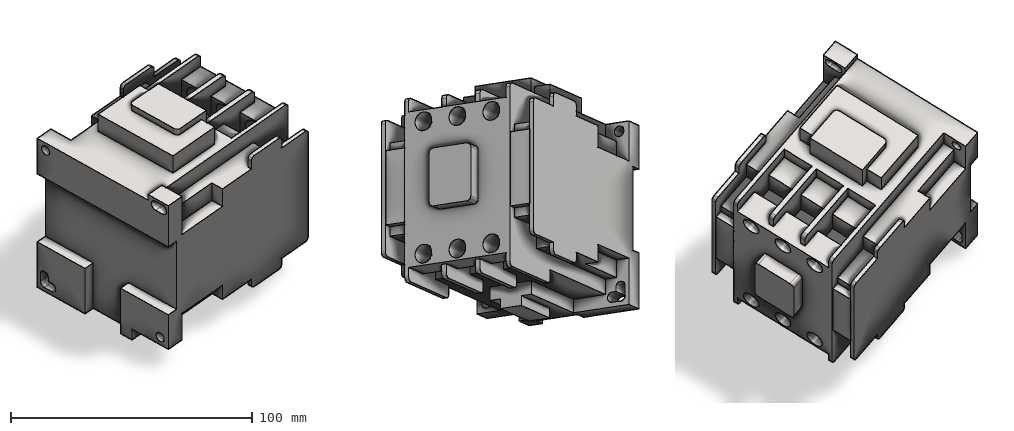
import cadquery as cq


TOTAL_HEIGHT = 95.1
CLIP_DROP = 4.2
ROCKER_TOP = TOTAL_HEIGHT - CLIP_DROP

HALF_WIDTH = 73.0 / 2
BACK_Y = 5.0
FRONT_Y = 86.9
FLANGE_DEPTH = 8.5
EDGE_RADIUS = 1.9

CENTER_HALF_WIDTH = 25.3
DECK_TOP = 78.8
CENTER_BOTTOM = 5.8
FIN_THICKNESS = 1.9
DIVIDER_THICKNESS = 2.3
DIVIDER_X = 8.1
WALL_INNER_X = CENTER_HALF_WIDTH - FIN_THICKNESS
DIVIDER_INNER_X = DIVIDER_X - DIVIDER_THICKNESS / 2
DIVIDER_OUTER_X = DIVIDER_X + DIVIDER_THICKNESS / 2
DIVIDER_FRONT_Y = 84.1

TERMINAL_TOP = 72.6
TERMINAL_BACK_Y = 53.9
SLOT_BACK_Y = 64.8
SLOT_FRONT_Y = 74.9
SLOT_DEPTH = 10.9
WIRE_HOLE_DIAMETER = 8.0
WIRE_HOLE_INSET = 4.9

SIDE_BOTTOM = 12.4
SIDE_TOP = 70.85
SIDE_PLATE_THICKNESS = 1.9
SIDE_FILLER_FRONT_Y = 86.4
SIDE_SEAT_BACK_Y = 65.1
SIDE_SEAT_FRONT_Y = 83.1
SIDE_SEAT_DEPTH = 9.2
SIDE_LEDGE_DEPTH = 13.3
TAB_BACK_Y = 51.5
TAB_FRONT_Y = 70.5
TAB_TOP = 76.9
TAB_BOTTOM = 7.5
POCKET_FRONT_Y = 33.7
POCKET_DEPTH_X = 6.0
UPPER_POCKET_FLOOR = 61.6
LOWER_POCKET_CEILING = 19.9

UPPER_FLANGE_BOTTOM = 60.0
EAR_TOP = 81.8
FOOT_TOP = 24.1
FOOT_INNER_X = 9.9
FOOT_NOTCH_X = 16.3
FOOT_NOTCH_TOP = CENTER_BOTTOM
MOUNT_HOLE_DIAMETER = 4.5
UPPER_HOLE = (-31.9, 74.9)
LOWER_HOLE = (32.0, 9.9)
EAR_SLOT_CENTER = (31.3, 78.1)
EAR_SLOT_LENGTH = 8.5
EAR_SLOT_WIDTH = 4.8
CORNER_SLOT = (-32.5, 4.2)
CORNER_SLOT_REACH = 4.1
CORNER_SLOT_WIDTH = 4.4

COVER_HALF_WIDTH = 20.8
COVER_Y = (20.35, 46.3)
COVER_TOP = 87.9
ROCKER_HALF_WIDTH = 13.4
ROCKER_Y = (31.5, 49.4)
ACTUATOR_HALF_WIDTH = 10.0
ACTUATOR_FRONT_Y = 93.0
ACTUATOR_Z = (28.7, 53.6)
CLIP_HALF_WIDTH = 5.0
CLIP_BLOCK_HALF_WIDTH = FOOT_INNER_X
CLIP_Y = (19.9, 43.0)


def block(x_range, y_range, z_range):
    """Axis-aligned box between the given limits."""
    (x0, x1), (y0, y1), (z0, z1) = x_range, y_range, z_range
    return cq.Workplane("XY").box(x1 - x0, y1 - y0, z1 - z0, centered=False).translate((x0, y0, z0))


def centered_block(half_width, y_range, z_range):
    return block((-half_width, half_width), y_range, z_range)


def side_range(side, inner, outer):
    """X limits of a feature on the left (-1) or right (+1) side."""
    return tuple(sorted((side * inner, side * outer)))


def hole_along_y(x, z, diameter, y_start, y_end):
    """Cylinder parallel to Y, used to cut a round hole."""
    cylinder = cq.Workplane("XZ").center(x, z).circle(diameter / 2).extrude(-(y_end - y_start))
    return cylinder.translate((0, y_start, 0))


def fin(x_range, y_range, z_range, rounded):
    """Thin wall whose listed edges (such as '>Y >Z') are rounded."""
    wall = block(x_range, y_range, z_range)
    for corner in rounded:
        y_selector, z_selector = corner.split()
        wall = wall.edges("|X").edges(z_selector).edges(y_selector).fillet(EDGE_RADIUS)
    return wall


def center_section():
    """Core with its raised deck, outer walls and pole dividers above and below."""
    core = centered_block(CENTER_HALF_WIDTH, (BACK_Y, FRONT_Y), (CENTER_BOTTOM, TERMINAL_TOP))
    deck = centered_block(CENTER_HALF_WIDTH, (BACK_Y, TERMINAL_BACK_Y), (TERMINAL_TOP, DECK_TOP))
    body = core.union(deck)
    for side in (-1, 1):
        wall = side_range(side, WALL_INNER_X, CENTER_HALF_WIDTH)
        divider = side_range(side, DIVIDER_INNER_X, DIVIDER_OUTER_X)
        for x_range, front_y in ((wall, FRONT_Y), (divider, DIVIDER_FRONT_Y)):
            y_range = (TERMINAL_BACK_Y, front_y)
            body = body.union(fin(x_range, y_range, (0, DECK_TOP), (">Y >Z", ">Y <Z", "<Y <Z")))
    return body


def cut_pole_terminals(body):
    """Cut the slot and wire hole of each pole, above and below."""
    lanes = (
        (-WALL_INNER_X, -DIVIDER_OUTER_X),
        (-DIVIDER_INNER_X, DIVIDER_INNER_X),
        (DIVIDER_OUTER_X, WALL_INNER_X),
    )
    slot_y = (SLOT_BACK_Y, SLOT_FRONT_Y)
    for lane in lanes:
        lane_center = sum(lane) / 2
        body = body.cut(block(lane, slot_y, (TERMINAL_TOP - SLOT_DEPTH, TERMINAL_TOP)))
        body = body.cut(block(lane, slot_y, (CENTER_BOTTOM, CENTER_BOTTOM + SLOT_DEPTH)))
        for z in (TERMINAL_TOP - WIRE_HOLE_INSET, CENTER_BOTTOM + WIRE_HOLE_INSET):
            body = body.cut(hole_along_y(lane_center, z, WIRE_HOLE_DIAMETER, slot_y[1], FRONT_Y))
    return body


def side_section(side):
    """Stepped filler, outer plate with its tab, and the two rear pockets of one side."""
    plate_inner = HALF_WIDTH - SIDE_PLATE_THICKNESS
    filler_x = side_range(side, CENTER_HALF_WIDTH, plate_inner)
    plate_x = side_range(side, plate_inner, HALF_WIDTH)
    steps = (
        (SIDE_SEAT_BACK_Y, 0),
        (SIDE_SEAT_FRONT_Y, SIDE_SEAT_DEPTH),
        (SIDE_FILLER_FRONT_Y, SIDE_LEDGE_DEPTH),
    )
    section = fin(plate_x, (BACK_Y, FRONT_Y), (SIDE_BOTTOM, SIDE_TOP), (">Y >Z", ">Y <Z"))
    for front_y, depth in steps:
        step_z = (SIDE_BOTTOM + depth, SIDE_TOP - depth)
        section = section.union(block(filler_x, (BACK_Y, front_y), step_z))
    tab_corners = (">Y >Z", "<Y >Z", ">Y <Z", "<Y <Z")
    section = section.union(fin(plate_x, (TAB_BACK_Y, TAB_FRONT_Y), (TAB_BOTTOM, TAB_TOP), tab_corners))
    pocket_x = side_range(side, HALF_WIDTH - POCKET_DEPTH_X, HALF_WIDTH)
    for z_range in ((UPPER_POCKET_FLOOR, SIDE_TOP), (SIDE_BOTTOM, LOWER_POCKET_CEILING)):
        section = section.cut(block(pocket_x, (FLANGE_DEPTH, POCKET_FRONT_Y), z_range))
    return section


def mounting_flanges():
    """Upper flange with its ear, and the two feet, the right one notched."""
    depth = (0, FLANGE_DEPTH)
    flanges = centered_block(HALF_WIDTH, depth, (UPPER_FLANGE_BOTTOM, DECK_TOP))
    flanges = flanges.union(block((CENTER_HALF_WIDTH, HALF_WIDTH), depth, (DECK_TOP, EAR_TOP)))
    left_foot = block((-HALF_WIDTH, -FOOT_INNER_X), depth, (0, FOOT_TOP))
    right_foot = block((FOOT_INNER_X, HALF_WIDTH), depth, (0, FOOT_TOP))
    right_foot = right_foot.cut(block((FOOT_NOTCH_X, HALF_WIDTH), depth, (0, FOOT_NOTCH_TOP)))
    return flanges.union(left_foot).union(right_foot)


def cut_mounting_holes(body):
    """Cut two round holes, the ear slot and the L-shaped corner slot."""
    for x, z in (UPPER_HOLE, LOWER_HOLE):
        body = body.cut(hole_along_y(x, z, MOUNT_HOLE_DIAMETER, 0, FLANGE_DEPTH))
    slot_plane = cq.Workplane("XZ")
    ear_slot = slot_plane.center(*EAR_SLOT_CENTER).slot2D(EAR_SLOT_LENGTH, EAR_SLOT_WIDTH)
    body = body.cut(ear_slot.extrude(-FLANGE_DEPTH))
    corner_x, corner_z = CORNER_SLOT
    arm_length = CORNER_SLOT_REACH + CORNER_SLOT_WIDTH
    half_reach = CORNER_SLOT_REACH / 2
    for dx, dz, angle in ((half_reach, 0, 0), (0, half_reach, 90)):
        arm = slot_plane.center(corner_x + dx, corner_z + dz).slot2D(arm_length, CORNER_SLOT_WIDTH, angle)
        body = body.cut(arm.extrude(-FLANGE_DEPTH))
    return body


def cover_and_rocker():
    cover = centered_block(COVER_HALF_WIDTH, COVER_Y, (DECK_TOP, COVER_TOP))
    rocker = centered_block(ROCKER_HALF_WIDTH, ROCKER_Y, (DECK_TOP, ROCKER_TOP))
    rocker = rocker.edges("|Z and <Y").fillet(EDGE_RADIUS)
    return cover.union(rocker)


def front_actuator():
    actuator = centered_block(ACTUATOR_HALF_WIDTH, (FRONT_Y, ACTUATOR_FRONT_Y), ACTUATOR_Z)
    return actuator.edges("|Y").fillet(EDGE_RADIUS)


def bottom_clip():
    """Raised bottom block behind the feet with the release clip under it."""
    base = centered_block(CLIP_BLOCK_HALF_WIDTH, (BACK_Y, CLIP_Y[1]), (0, CENTER_BOTTOM))
    clip = centered_block(CLIP_HALF_WIDTH, CLIP_Y, (-CLIP_DROP, 0))
    return base.union(clip)


contactor = cut_pole_terminals(center_section())
for side in (-1, 1):
    contactor = contactor.union(side_section(side))
contactor = contactor.union(mounting_flanges())
contactor = cut_mounting_holes(contactor)
for attachment in (cover_and_rocker(), front_actuator(), bottom_clip()):
    contactor = contactor.union(attachment)

result = contactor